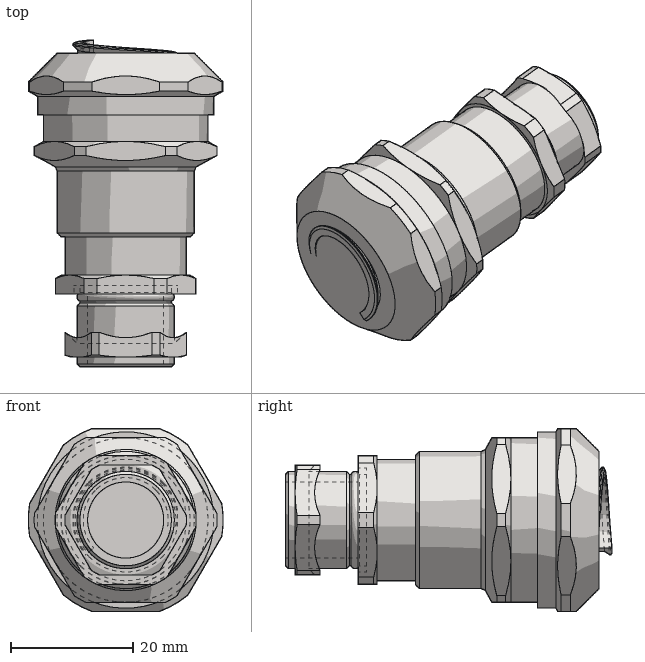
import cadquery as cq
import math

TOTAL_LENGTH = 53.55
BODY_LENGTH = 51.4

TUBE_RADIUS = 8.0
TUBE_CHAMFER = 0.5
BORE_DIAMETER = 12.5
GLAND_START = 1.6
GLAND_FLATS = 18.0
GLAND_CORNERS = 20.0
GLAND_CHAMFER = 0.3
GLAND_RIM = 5.7
GLAND_DISH_SLOPE = 0.9

GROOVE_START = 10.0
GROOVE_DEPTH = 0.5
SEAL_SECTION_RADIUS = 0.75
SEAL_Y = 11.45
SEAL_SEAT_RADIUS = 8.5
SEAL_SEAT_DEPTH = 1.4

LOCK_START = 11.95
LOCK_END = 15.05
LOCK_FLATS = 21.1
LOCK_CORNERS = 23.1

NECK_RADIUS = 9.95
SLEEVE_START = 21.3
SLEEVE_RADIUS = 11.25
SLEEVE_CHAMFER = 0.65
SLEEVE_END = 32.1

CONE_START = 32.75
CONE_START_RADIUS = 11.55
BODY_HEX_START = 34.65
BODY_HEX_END = 36.1
BODY_FLATS = 27.0
BODY_CORNERS = 30.0

COLLAR_START = 41.3
COLLAR_RADIUS = 14.45
CAP_CORNER_START = 45.2
CAP_CORNER_END = 46.7
CAP_FLATS = 30.0
CAP_CORNERS = 31.95

RIDGE_PITCH = 3.3
RIDGE_SWEEP = 235.0
RIDGE_END_ANGLE = 221.0
RIDGE_INNER_RADIUS = 6.95
RIDGE_WALL_RADIUS = 7.85
RIDGE_RIM_RADIUS = 8.7
RIDGE_CREST_RADIUS = 8.25
RIDGE_RIM_TOP = 0.2
RIDGE_RIM_BOTTOM = 0.45
RIDGE_FLARE_BOTTOM = 1.25
RIDGE_ROOT = 2.7

NUT_CHAMFER_SLOPE = math.tan(math.radians(30))


def turned(points):
    """Solid of revolution about Y from (radius, y) points, closed along the axis."""
    outline = [(0, points[0][1])] + points + [(0, points[-1][1])]
    return cq.Workplane("XY").polyline(outline).close().revolve(360, (0, 0), (0, 1))


def disc(radius, start, end):
    return turned([(radius, start), (radius, end)])


def hexagonal(blank, flats):
    """Cut a turned blank to a hexagon with flats facing +Z and -Z."""
    across_points = flats / math.cos(math.radians(30))
    prism = cq.Workplane("XZ").polygon(6, across_points).extrude(-TOTAL_LENGTH)
    return blank.intersect(prism)


def entry_tube():
    groove_floor = TUBE_RADIUS - GROOVE_DEPTH
    return turned([
        (TUBE_RADIUS - TUBE_CHAMFER, 0),
        (TUBE_RADIUS, TUBE_CHAMFER),
        (TUBE_RADIUS, GROOVE_START),
        (groove_floor, GROOVE_START + GROOVE_DEPTH),
        (groove_floor, LOCK_END),
    ])


def gland_nut():
    corner = GLAND_CORNERS / 2
    dish_edge = GLAND_RIM - GLAND_DISH_SLOPE * (corner - TUBE_RADIUS)
    blank = turned([
        (GLAND_FLATS / 2, GLAND_START),
        (corner, GLAND_START + GLAND_CHAMFER),
        (corner, GLAND_RIM),
        (TUBE_RADIUS, dish_edge),
    ])
    return hexagonal(blank, GLAND_FLATS)


def seal_ring():
    centre_radius = TUBE_RADIUS - SEAL_SECTION_RADIUS
    section = cq.Workplane("XY").center(-centre_radius, SEAL_Y).circle(SEAL_SECTION_RADIUS)
    return section.revolve(360, (centre_radius, 0), (centre_radius, 1))


def lock_nut():
    corner = LOCK_CORNERS / 2
    flat = LOCK_FLATS / 2
    blank = turned([
        (corner, LOCK_START),
        (corner, LOCK_END - NUT_CHAMFER_SLOPE * (corner - flat)),
        (flat, LOCK_END),
    ])
    seat = disc(SEAL_SEAT_RADIUS, LOCK_START, LOCK_START + SEAL_SEAT_DEPTH)
    return hexagonal(blank, LOCK_FLATS).cut(seat)


def sleeve():
    return turned([
        (SLEEVE_RADIUS - SLEEVE_CHAMFER, SLEEVE_START),
        (SLEEVE_RADIUS, SLEEVE_START + SLEEVE_CHAMFER),
        (SLEEVE_RADIUS, SLEEVE_END),
        (CONE_START_RADIUS, CONE_START),
    ])


def body_hexagon():
    corner = BODY_CORNERS / 2
    flat = BODY_FLATS / 2
    blank = turned([
        (CONE_START_RADIUS, CONE_START),
        (corner, BODY_HEX_START),
        (corner, BODY_HEX_END),
        (flat, BODY_HEX_END + NUT_CHAMFER_SLOPE * (corner - flat)),
    ])
    return hexagonal(blank, BODY_FLATS)


def cap_nut():
    corner = CAP_CORNERS / 2
    bevel = BODY_LENGTH - CAP_CORNER_END
    blank = turned([
        (COLLAR_RADIUS, CAP_CORNER_START - NUT_CHAMFER_SLOPE * (corner - COLLAR_RADIUS)),
        (corner, CAP_CORNER_START),
        (corner, CAP_CORNER_END),
        (corner - bevel, BODY_LENGTH),
    ])
    return hexagonal(blank, CAP_FLATS)


def helical_ridge():
    """Flared ridge climbing out of the rear face, swept about Z and then laid along Y."""
    rise = RIDGE_PITCH * RIDGE_SWEEP / 360
    path = cq.Wire.makeHelix(RIDGE_PITCH, rise, RIDGE_WALL_RADIUS, lefthand=True)
    section = cq.Workplane("XZ").polyline([
        (RIDGE_INNER_RADIUS, -RIDGE_ROOT),
        (RIDGE_WALL_RADIUS, -RIDGE_ROOT),
        (RIDGE_WALL_RADIUS, -RIDGE_FLARE_BOTTOM),
        (RIDGE_RIM_RADIUS, -RIDGE_RIM_BOTTOM),
        (RIDGE_RIM_RADIUS, -RIDGE_RIM_TOP),
        (RIDGE_CREST_RADIUS, 0),
        (RIDGE_INNER_RADIUS, 0),
    ]).close()
    ridge = section.sweep(cq.Workplane(path), isFrenet=True)
    start_angle = RIDGE_END_ANGLE - RIDGE_SWEEP
    ridge = ridge.rotate((0, 0, 0), (1, 0, 0), -90).rotate((0, 0, 0), (0, 1, 0), -start_angle)
    return ridge.translate((0, TOTAL_LENGTH - rise, 0))


sections = [
    gland_nut(),
    seal_ring(),
    lock_nut(),
    disc(NECK_RADIUS, LOCK_END, SLEEVE_START),
    sleeve(),
    body_hexagon(),
    disc(BODY_FLATS / 2, BODY_HEX_END, COLLAR_START),
    disc(COLLAR_RADIUS, COLLAR_START, CAP_CORNER_START),
    cap_nut(),
    helical_ridge(),
]

gland = entry_tube()
for section in sections:
    gland = gland.union(section)

bore = disc(BORE_DIAMETER / 2, 0, LOCK_START)
result = gland.cut(bore)